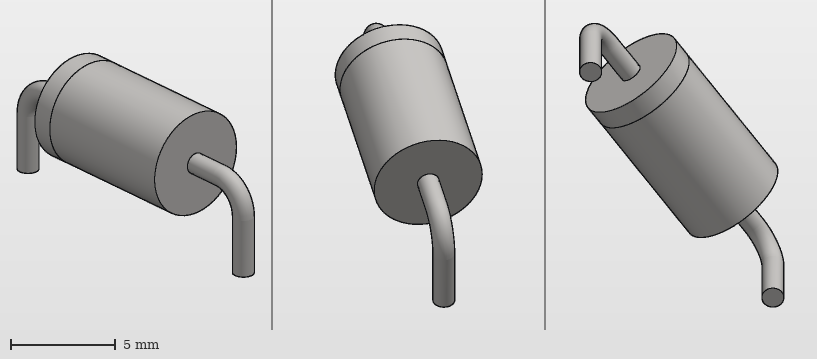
import cadquery as cq

body_length = 8.5
body_diameter = 5.29
band_diameter = 5.3
band_width = 1.06
lead_diameter = 1.06
bend_ratio = 1.5
overall_length = 16.34
overall_height = 7.22

lead_pitch = overall_length - lead_diameter
bend_radius = bend_ratio * lead_diameter
lead_tip_z = band_diameter / 2 - overall_height


def make_body():
    """Plain body cylinder with the cathode band around its -X end."""
    start = cq.Workplane("YZ", origin=(-body_length / 2, 0, 0))
    main_start = start.workplane(offset=band_width)
    main = main_start.circle(body_diameter / 2).extrude(body_length - band_width)
    band = start.circle(band_diameter / 2).extrude(band_width)
    return main.union(band)


def make_leads():
    """One continuous wire: up from the -X tip, through the body, down to the +X tip."""
    lead_x = lead_pitch / 2
    bend_start_x = lead_x - bend_radius
    path = (
        cq.Workplane("XZ")
        .moveTo(-lead_x, lead_tip_z)
        .lineTo(-lead_x, -bend_radius)
        .radiusArc((-bend_start_x, 0), bend_radius)
        .lineTo(bend_start_x, 0)
        .radiusArc((lead_x, -bend_radius), bend_radius)
        .lineTo(lead_x, lead_tip_z)
    )
    tip = cq.Workplane("XY", origin=(-lead_x, 0, lead_tip_z))
    return tip.circle(lead_diameter / 2).sweep(path)


result = make_body().union(make_leads())